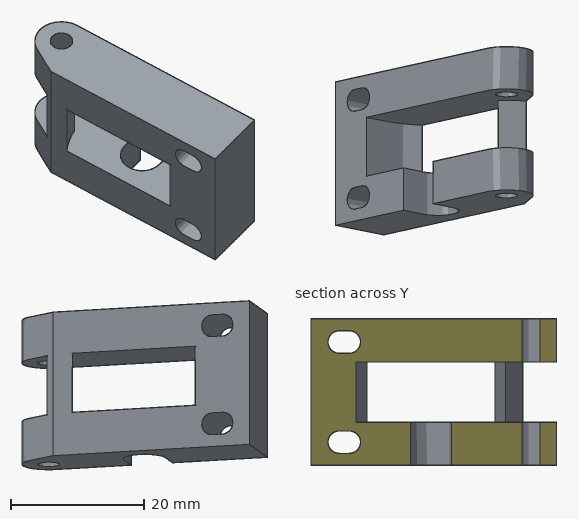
import cadquery as cq
import math

length = 37.0
depth = 10.0
height = 22.0
mid_z = height / 2

nose_radius = 4.0
pivot_x = nose_radius
pivot_y = depth - nose_radius
pin_diameter = 3.33
slope_end_x = 6.4

opening_height = 9.03
opening_bottom = mid_z - opening_height / 2
gap_radius = 4.3
gap_tip_x = 5.2

window_left = 9.4
window_right = 28.55
wheel_x = (window_left + window_right) / 2
wheel_y = pivot_y
wheel_radius = math.hypot((window_right - window_left) / 2, wheel_y)

shaft_radius = 3.22

slot_x = 32.0
slot_length = 4.85
slot_width = 3.33
slot_spacing = 15.02

cut_margin = 1.85


def tangent_point(radius, x, y, side):
    """Point where a line from (x, y) touches a circle about the pivot."""
    dx = x - pivot_x
    dy = y - pivot_y
    angle = math.atan2(dy, dx) + side * math.acos(radius / math.hypot(dx, dy))
    return pivot_x + radius * math.cos(angle), pivot_y + radius * math.sin(angle)


def body():
    nose_end = tangent_point(nose_radius, slope_end_x, 0, -1)
    return (
        cq.Workplane("XY")
        .moveTo(slope_end_x, 0)
        .lineTo(length, 0)
        .lineTo(length, depth)
        .lineTo(pivot_x, depth)
        .threePointArc((0, pivot_y), nose_end)
        .close()
        .extrude(height)
    )


def hinge_gap():
    """Gap between the knuckles, with a round end about the pivot."""
    nose_end = tangent_point(nose_radius, slope_end_x, 0, -1)
    slope = nose_end[1] / (nose_end[0] - slope_end_x)
    tip_y = slope * (gap_tip_x - slope_end_x)
    wall_end = tangent_point(gap_radius, gap_tip_x, tip_y, 1)
    half_angle = math.atan2(wall_end[1] - pivot_y, wall_end[0] - pivot_x) / 2
    arc_middle = (
        pivot_x + gap_radius * math.cos(half_angle),
        pivot_y + gap_radius * math.sin(half_angle),
    )
    return (
        cq.Workplane("XY", origin=(0, 0, opening_bottom))
        .moveTo(-cut_margin, -cut_margin)
        .lineTo(gap_tip_x, -cut_margin)
        .lineTo(gap_tip_x, tip_y)
        .lineTo(*wall_end)
        .threePointArc(arc_middle, (pivot_x + gap_radius, pivot_y))
        .lineTo(pivot_x + gap_radius, depth + cut_margin)
        .lineTo(-cut_margin, depth + cut_margin)
        .close()
        .extrude(opening_height)
    )


def open_channel(radius, bottom, top):
    """Vertical cut with a round front end, running straight out of the back."""
    back = depth + cut_margin
    return (
        cq.Workplane("XY", origin=(wheel_x, 0, bottom))
        .moveTo(-radius, back)
        .lineTo(-radius, wheel_y)
        .threePointArc((0, wheel_y - radius), (radius, wheel_y))
        .lineTo(radius, back)
        .close()
        .extrude(top - bottom)
    )


def mounting_slots():
    return (
        cq.Workplane("XZ", origin=(slot_x, 0, mid_z))
        .pushPoints([(0, -slot_spacing / 2), (0, slot_spacing / 2)])
        .slot2D(slot_length, slot_width)
        .extrude(-depth)
    )


pin_hole = cq.Workplane("XY").center(pivot_x, pivot_y).circle(pin_diameter / 2).extrude(height)
wheel_pocket = open_channel(wheel_radius, opening_bottom, opening_bottom + opening_height)
shaft_channel = open_channel(shaft_radius, -cut_margin, mid_z)

result = (
    body()
    .cut(hinge_gap())
    .cut(wheel_pocket)
    .cut(shaft_channel)
    .cut(pin_hole)
    .cut(mounting_slots())
)